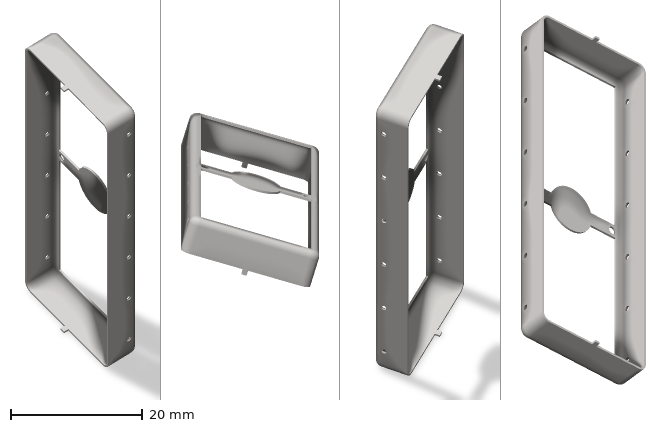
import cadquery as cq

width = 20.6
height = 59.3
depth = 5.7
wall = 0.35
corner_radius = 1.4
back_edge_radius = 1.05
inner_edge_radius = 0.65

back_rim = 1.5
window_width = width - 2 * back_rim
window_height = height - 2 * back_rim

bar_width = 2.4
disc_diameter = 8.05
bar_hole_diameter = 1.3
bar_hole_spacing = 16.25

side_hole_diameter = 0.9
side_hole_count = 6
side_hole_pitch = 10.0
side_hole_from_back = 1.65

tab_width = 0.85
tab_length = 0.85
tab_overlap = 0.3

back_plane = cq.Workplane("XZ", origin=(0, depth, 0))


def rounded_block(inset, edge_radius):
    """Block inset from the outer faces, with rounded corners and back edge."""
    return (
        cq.Workplane("XZ")
        .rect(width - 2 * inset, height - 2 * inset)
        .extrude(inset - depth)
        .edges("|Y")
        .fillet(corner_radius - inset)
        .faces(">Y")
        .edges()
        .fillet(edge_radius)
    )


def crossbar():
    """Flat bar and disc spanning the window, and the two end holes to cut."""
    bar = back_plane.rect(window_width + back_rim, bar_width).extrude(wall)
    disc = back_plane.circle(disc_diameter / 2).extrude(wall)
    holes = (
        back_plane
        .rarray(bar_hole_spacing, 0.6, 2, 1)
        .circle(bar_hole_diameter / 2)
        .extrude(wall)
    )
    return bar.union(disc), holes


def side_holes():
    """Cylinders crossing the whole width at every side-hole position."""
    return (
        cq.Workplane("YZ", origin=(-width / 2, depth - side_hole_from_back, 0))
        .rarray(0.6, side_hole_pitch, 1, side_hole_count)
        .circle(side_hole_diameter / 2)
        .extrude(width)
    )


def tabs():
    """Two small tabs flush with the outer faces of the short walls."""
    return (
        cq.Workplane("XZ", origin=(0, tab_overlap, 0))
        .rarray(0.6, height - wall, 1, 2)
        .rect(tab_width, wall)
        .extrude(tab_length + tab_overlap)
    )


window = back_plane.rect(window_width, window_height).extrude(depth)
bar, bar_holes = crossbar()

cavity = rounded_block(wall, inner_edge_radius)
frame = rounded_block(0, back_edge_radius).cut(cavity).cut(window)
result = frame.union(bar).cut(bar_holes).cut(side_holes()).union(tabs())